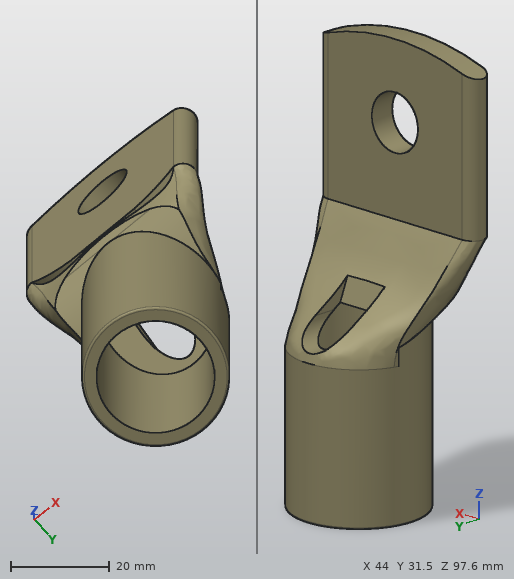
import cadquery as cq
import math

total_height = 97.61
clearance = 20.0

barrel_radius = 30 / 2
bore_radius = 24 / 2
mouth_fillet = 0.5

palm_width = 44.0
palm_thickness = 6.0
palm_front_y = -16.5
palm_back_y = palm_front_y + palm_thickness
palm_mid_y = palm_front_y + palm_thickness / 2
palm_half_width = palm_width / 2
palm_flat_half = palm_half_width - palm_thickness / 2
palm_top_radius = 60.0
bolt_hole_diameter = 13.0
bolt_hole_z = 79.7

palm_bottom_z = 52.8
palm_bottom_half = 8.5
palm_shoulder_z = 59.0
palm_corner_mid_x = 14.2
palm_corner_mid_z = 55.0

neck_start_z = 34.3
neck_shoulder_z = 38.6
neck_middle_z = 46.5
neck_upper_z = 53.0
neck_corner_x = 14.3
neck_shoulder_corner_x = 14.6
neck_shoulder_back_y = 12.2

underside_front_z = 50.5
underside_mid = (-5.4, 42.1)
underside_rear = (3.4, 38.2)
underside_front_slope = 0.95

roof_slope = 0.61
roof_axis_z = 42.5

slot_width = 10.5
slot_bottom_z = 36.2
slot_end_outer_y = -2.4
slot_end_outer_z = 48.4


def barrel_y(x):
    """Distance from the barrel axis plane to the barrel surface at a given X."""
    return math.sqrt(barrel_radius**2 - x**2)


def roof_z(y):
    """Height of the bore roof at a given Y."""
    return roof_axis_z - roof_slope * y


def side_prism(points):
    """Extrude a (Y, Z) outline along X, past both sides of the part."""
    return cq.Workplane("YZ").polyline(points).close().extrude(palm_width, both=True)


def neck_section(z, front_y, front_corner, side, back_corner, back_y):
    """Horizontal, mirror-symmetric neck section of four arcs; corners and sides are (X, Y)."""
    right = [cq.Vector(x, y, z) for x, y in (front_corner, side, back_corner)]
    left = [cq.Vector(-point.x, point.y, z) for point in right]
    edges = [
        cq.Edge.makeThreePointArc(left[0], cq.Vector(0, front_y, z), right[0]),
        cq.Edge.makeThreePointArc(right[0], right[1], right[2]),
        cq.Edge.makeThreePointArc(right[2], cq.Vector(0, back_y, z), left[2]),
        cq.Edge.makeThreePointArc(left[2], left[1], left[0]),
    ]
    return cq.Wire.assembleEdges(edges)


def palm_section(z):
    """Horizontal palm section: two flats joined by full-round sides."""
    return (
        cq.Workplane("XY", origin=(0, 0, z))
        .moveTo(-palm_flat_half, palm_front_y)
        .lineTo(palm_flat_half, palm_front_y)
        .threePointArc((palm_half_width, palm_mid_y), (palm_flat_half, palm_back_y))
        .lineTo(-palm_flat_half, palm_back_y)
        .threePointArc((-palm_half_width, palm_mid_y), (-palm_flat_half, palm_front_y))
        .close()
    )


def make_below_underside():
    """Region in front of and below the curved neck underside."""
    front_extension = clearance - barrel_radius
    front_end_z = underside_front_z + underside_front_slope * front_extension
    return (
        cq.Workplane("YZ")
        .moveTo(-clearance, front_end_z)
        .lineTo(-barrel_radius, underside_front_z)
        .threePointArc(underside_mid, underside_rear)
        .lineTo(underside_rear[0], 0)
        .lineTo(-clearance, 0)
        .close()
        .extrude(palm_width, both=True)
    )


def make_barrel():
    """Solid barrel whose front rises to meet the neck underside."""
    stub = cq.Workplane("XY").circle(barrel_radius).extrude(neck_start_z)
    stub = stub.faces("<Z").edges().fillet(mouth_fillet)
    riser = (
        cq.Workplane("XY", origin=(0, 0, neck_start_z))
        .circle(barrel_radius)
        .extrude(total_height - neck_start_z)
        .intersect(make_below_underside())
    )
    return stub.union(riser)


def make_neck():
    """Smooth loft from the round barrel to the palm, trimmed by the underside."""
    start = neck_section(
        z=neck_start_z,
        front_y=-barrel_radius,
        front_corner=(neck_corner_x, -barrel_y(neck_corner_x)),
        side=(barrel_radius, 0),
        back_corner=(neck_corner_x, barrel_y(neck_corner_x)),
        back_y=barrel_radius,
    )
    shoulder = neck_section(
        z=neck_shoulder_z,
        front_y=-barrel_radius,
        front_corner=(neck_corner_x, -barrel_y(neck_corner_x)),
        side=(barrel_radius, 0),
        back_corner=(neck_shoulder_corner_x, barrel_y(neck_shoulder_corner_x)),
        back_y=neck_shoulder_back_y,
    )
    middle = neck_section(
        z=neck_middle_z,
        front_y=-15.9,
        front_corner=(16.4, -11.5),
        side=(17.6, -7.0),
        back_corner=(16.5, -2.0),
        back_y=-0.5,
    )
    upper = neck_section(
        z=neck_upper_z,
        front_y=-16.4,
        front_corner=(17.6, -13.9),
        side=(20.4, -10.3),
        back_corner=(17.8, -6.7),
        back_y=-6.4,
    )
    end = palm_section(palm_shoulder_z).wires().val()
    neck = cq.Workplane(cq.Solid.makeLoft([start, shoulder, middle, upper, end], False))
    return neck.cut(make_below_underside())


def make_palm():
    """Palm slab with its domed top, curved lower corners and bolt hole."""
    slab = palm_section(palm_bottom_z).extrude(total_height - palm_bottom_z)
    dome_drop = palm_top_radius - math.sqrt(palm_top_radius**2 - palm_half_width**2)
    top_corner_z = total_height - dome_drop
    outline = (
        cq.Workplane("XZ")
        .moveTo(-palm_bottom_half, palm_bottom_z)
        .lineTo(palm_bottom_half, palm_bottom_z)
        .threePointArc((palm_corner_mid_x, palm_corner_mid_z), (palm_flat_half, palm_shoulder_z))
        .lineTo(palm_half_width, palm_shoulder_z)
        .lineTo(palm_half_width, top_corner_z)
        .threePointArc((0, total_height), (-palm_half_width, top_corner_z))
        .lineTo(-palm_half_width, palm_shoulder_z)
        .lineTo(-palm_flat_half, palm_shoulder_z)
        .threePointArc((-palm_corner_mid_x, palm_corner_mid_z), (-palm_bottom_half, palm_bottom_z))
        .close()
        .extrude(clearance)
    )
    hole = (
        cq.Workplane("XZ")
        .center(0, bolt_hole_z)
        .circle(bolt_hole_diameter / 2)
        .extrude(clearance)
    )
    return slab.intersect(outline).cut(hole)


def make_bore():
    """Bore from the mouth up to the sloping roof."""
    bore = cq.Workplane("XY").circle(bore_radius).extrude(total_height)
    below_roof = side_prism([
        (-clearance, roof_z(-clearance)),
        (clearance, roof_z(clearance)),
        (clearance, 0),
        (-clearance, 0),
    ])
    return bore.intersect(below_roof)


def make_slot():
    """Round-bottomed slot along Y, closed at the front by a sloping end face."""
    slot_radius = slot_width / 2
    outline = (
        cq.Workplane("XZ")
        .moveTo(-slot_radius, total_height)
        .lineTo(-slot_radius, slot_bottom_z + slot_radius)
        .threePointArc((0, slot_bottom_z), (slot_radius, slot_bottom_z + slot_radius))
        .lineTo(slot_radius, total_height)
        .close()
        .extrude(clearance, both=True)
    )
    behind_end = side_prism([
        (slot_end_outer_y, slot_end_outer_z),
        (0, roof_axis_z),
        (0, 0),
        (clearance, 0),
        (clearance, slot_end_outer_z),
    ])
    return outline.intersect(behind_end)


lug_body = make_barrel().union(make_neck()).union(make_palm())
result = lug_body.cut(make_bore()).cut(make_slot())